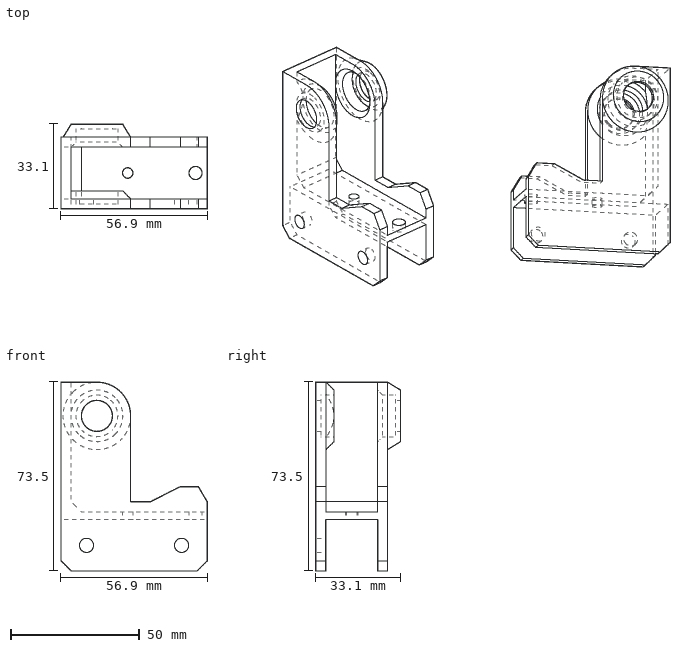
import cadquery as cq

length = 56.9
height = 73.5
plate = 4.0
inner_width = 20.1
width = inner_width + 2 * plate
rear_plate_y = width - plate

pivot_x = 14.0
boss_base_radius = 13.15
pivot_z = height - boss_base_radius
boss_tip_radius = 10.1
front_boss_height = boss_base_radius - boss_tip_radius
rear_boss_height = 5.0
rear_face_y = width + rear_boss_height

pivot_bore = 12.0
bearing_bore = 16.25
bearing_lip = 2.0
seat_depth = boss_tip_radius - bearing_bore / 2

corner_radius = boss_base_radius
leg_width = pivot_x + corner_radius
saddle_height = 27.0
ramp_start = 34.7
ramp_end = 46.4
lobe_height = 32.9
lobe_chamfer_x = 3.45
lobe_chamfer_z = 5.9
foot_chamfer = 4.0

floor_bottom = 20.0
floor_thickness = 3.0
floor_top = floor_bottom + floor_thickness
gusset_leg = 4.0
floor_holes = ((25.95, 4.0), (52.35, 5.0))

pin_hole = 5.5
pin_hole_z = floor_bottom / 2
pin_hole_xs = (9.9, 46.9)


def side_plate(y_start):
    """L-shaped plate standing at y_start, with one rounded top corner."""
    arc_inset = corner_radius * (1 - 0.5 ** 0.5)
    outline = (
        cq.Workplane("XZ", origin=(0, y_start, 0))
        .moveTo(foot_chamfer, 0)
        .lineTo(length - foot_chamfer, 0)
        .lineTo(length, foot_chamfer)
        .lineTo(length, lobe_height - lobe_chamfer_z)
        .lineTo(length - lobe_chamfer_x, lobe_height)
        .lineTo(ramp_end, lobe_height)
        .lineTo(ramp_start, saddle_height)
        .lineTo(leg_width, saddle_height)
        .lineTo(leg_width, height - corner_radius)
        .threePointArc((leg_width - arc_inset, height - arc_inset), (pivot_x, height))
        .lineTo(0, height)
        .lineTo(0, foot_chamfer)
        .close()
    )
    return outline.extrude(-plate)


def web_and_floor():
    """Upright web and floor between the plates, with a 45 degree gusset in their inner corner."""
    profile = (
        cq.Workplane("XZ", origin=(0, plate, 0))
        .moveTo(0, floor_bottom)
        .lineTo(length, floor_bottom)
        .lineTo(length, floor_top)
        .lineTo(plate + gusset_leg, floor_top)
        .lineTo(plate, floor_top + gusset_leg)
        .lineTo(plate, height)
        .lineTo(0, height)
        .close()
    )
    return profile.extrude(-inner_width)


def pivot_cone(y_start, y_end, start_radius, end_radius):
    """Cone on the pivot axis, from y_start to y_end."""
    base = cq.Vector(pivot_x, y_start, pivot_z)
    return cq.Solid.makeCone(start_radius, end_radius, y_end - y_start, base, cq.Vector(0, 1, 0))


def y_cylinder(x, z, y_start, y_end, diameter):
    """Cylinder parallel to Y at (x, z), from y_start to y_end."""
    return cq.Workplane("XZ", origin=(x, y_start, z)).circle(diameter / 2).extrude(y_start - y_end)


def floor_hole(x, diameter):
    """Vertical cylinder through the floor, midway between the plates."""
    start = cq.Workplane("XY", origin=(x, width / 2, floor_bottom))
    return start.circle(diameter / 2).extrude(floor_thickness)


result = side_plate(0).union(side_plate(rear_plate_y)).union(web_and_floor())

front_boss_tip_y = plate + front_boss_height
result = result.union(pivot_cone(plate, front_boss_tip_y, boss_base_radius, boss_tip_radius))
result = result.union(pivot_cone(width, rear_face_y, boss_base_radius, boss_tip_radius))

result = result.cut(y_cylinder(pivot_x, pivot_z, 0, rear_face_y, pivot_bore))
result = result.cut(y_cylinder(pivot_x, pivot_z, bearing_lip, front_boss_tip_y, bearing_bore))
result = result.cut(y_cylinder(pivot_x, pivot_z, rear_plate_y, rear_face_y - bearing_lip, bearing_bore))

seat_end_y = rear_plate_y + seat_depth
result = result.cut(pivot_cone(rear_plate_y, seat_end_y, boss_tip_radius, bearing_bore / 2))

for hole_x, hole_diameter in floor_holes:
    result = result.cut(floor_hole(hole_x, hole_diameter))

for hole_x in pin_hole_xs:
    result = result.cut(y_cylinder(hole_x, pin_hole_z, 0, plate, pin_hole))